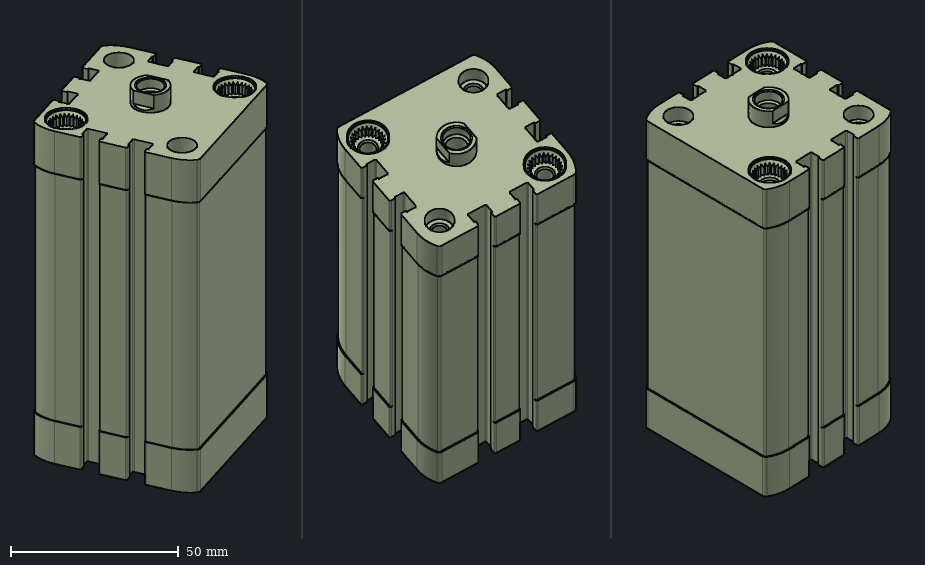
import cadquery as cq
import math

width = 54.5
total_height = 121.1
rod_reach = 6.0
housing_height = total_height - rod_reach
half_width = width / 2

cap_height = 14.8
barrel_inset = 0.4
corner_arc_radius = 13.9
corner_arc_run = 8.1
corner_blend_radius = 1.5

slot_offset = 7.5
slot_mouth_width = 5.7
slot_inner_width = 6.7
slot_lip_depth = 2.0
slot_depth = 5.5
slot_mouth_radius = 0.5
slot_floor_radius = 0.4

hole_offset = 19.0
through_diameter = 5.0
hole_chamfer_diameter = 6.0
seat_diameter = 9.0
seat_depth = 5.2

socket_rim_diameter = 12.8
socket_rim_depth = 0.6
socket_cone_diameter = 11.9
socket_root_diameter = 10.4
socket_tip_diameter = 8.6
tooth_count = 24

rod_diameter = 12.0
rod_seat_depth = cap_height
flat_spacing = 9.9
flat_height = 4.6
flat_runout = 0.7
rod_mouth_diameter = 9.3
rod_recess_diameter = 8.4
rod_recess_depth = 3.5
rod_bore_diameter = 6.7
rod_bore_depth = 12.1
countersink_angle = 120.0
drill_point_angle = 118.0


def frustum(start_diameter, end_diameter, top_z, depth):
    """Round solid that narrows downward from top_z; a zero end diameter gives a pointed cone."""
    top_centre = cq.Vector(0, 0, top_z)
    downward = cq.Vector(0, 0, -1)
    cone = cq.Solid.makeCone(start_diameter / 2, end_diameter / 2, depth, top_centre, downward)
    return cq.Workplane(obj=cone)


def cylinder_down(diameter, top_z, depth):
    return cq.Workplane().workplane(offset=top_z).circle(diameter / 2).extrude(-depth)


def body_section(inset, bottom_z, height):
    """Slotted square block with double-arc corners, its sides set back by inset."""
    half = half_width - inset
    arc_radius = corner_arc_radius - inset
    blend_radius = corner_blend_radius - inset
    arc_x = half_width - corner_arc_run
    arc_y = half_width - corner_arc_radius
    blend_x = half_width - corner_blend_radius
    centre_distance = corner_arc_radius - corner_blend_radius
    blend_y = arc_y + math.sqrt(centre_distance**2 - (blend_x - arc_x) ** 2)
    join_angle = math.atan2(blend_y - arc_y, blend_x - arc_x)

    def arc_point(angle):
        return arc_x + arc_radius * math.cos(angle), arc_y + arc_radius * math.sin(angle)

    def blend_point(angle):
        return blend_x + blend_radius * math.cos(angle), blend_y + blend_radius * math.sin(angle)

    quarter = (
        cq.Workplane()
        .workplane(offset=bottom_z)
        .lineTo(0, half)
        .lineTo(arc_x, half)
        .threePointArc(arc_point((join_angle + math.pi / 2) / 2), arc_point(join_angle))
        .threePointArc(blend_point(join_angle / 2), (half, blend_y))
        .lineTo(half, 0)
        .close()
        .extrude(height)
    )
    right_half = quarter.union(quarter.mirror("XZ"))
    body = right_half.union(right_half.mirror("YZ"))

    slots = slot_pair(half, bottom_z, height)
    for side_angle in (0, 90, 180):
        body = body.cut(slots.rotate((0, 0, 0), (0, 0, 1), side_angle))
    return body


def slot_pair(side_y, bottom_z, height):
    """Two T-slots opening in the plane y = side_y, with rounded mouth edges and floor corners."""
    mouth_x = slot_mouth_width / 2
    inner_x = slot_inner_width / 2
    floor_y = half_width - slot_depth
    lip_y = half_width - slot_lip_depth
    right_half = (
        cq.Workplane()
        .workplane(offset=bottom_z)
        .moveTo(0, floor_y)
        .lineTo(inner_x - slot_floor_radius, floor_y)
        .radiusArc((inner_x, floor_y + slot_floor_radius), -slot_floor_radius)
        .lineTo(inner_x, lip_y)
        .lineTo(mouth_x, lip_y)
        .lineTo(mouth_x, side_y - slot_mouth_radius)
        .radiusArc((mouth_x + slot_mouth_radius, side_y), slot_mouth_radius)
        .lineTo(0, side_y)
        .close()
        .extrude(height)
    )
    slot = right_half.union(right_half.mirror("YZ"))
    return slot.translate((-slot_offset, 0, 0)).union(slot.translate((slot_offset, 0, 0)))


def corner_hole_cutter():
    """Through hole with a chamfered lead-in, starting at the floor of its counterbore or socket."""
    seat_z = housing_height - seat_depth
    lead_in_depth = (hole_chamfer_diameter - through_diameter) / 2
    lead_in = frustum(hole_chamfer_diameter, through_diameter, seat_z, lead_in_depth)
    return cylinder_down(through_diameter, seat_z, seat_z).union(lead_in)


def counterbore_cutter():
    return cylinder_down(seat_diameter, housing_height, seat_depth)


def socket_cutter():
    """Shallow round recess, then a 45 degree cone leading into a ring of pointed teeth."""
    star = []
    for step in range(2 * tooth_count):
        radius = (socket_root_diameter if step % 2 == 0 else socket_tip_diameter) / 2
        angle = math.pi * step / tooth_count
        star.append((radius * math.cos(angle), radius * math.sin(angle)))
    teeth = cq.Workplane().workplane(offset=housing_height).polyline(star).close().extrude(-seat_depth)
    rim = cylinder_down(socket_rim_diameter, housing_height, socket_rim_depth)
    cone_depth = (socket_cone_diameter - socket_tip_diameter) / 2
    cone_z = housing_height - socket_rim_depth
    cone = frustum(socket_cone_diameter, socket_tip_diameter, cone_z, cone_depth)
    return teeth.union(cone).union(rim)


def make_housing():
    top_cap_z = housing_height - cap_height
    housing = body_section(barrel_inset, cap_height, top_cap_z - cap_height)
    housing = housing.union(body_section(0, 0, cap_height))
    housing = housing.union(body_section(0, top_cap_z, cap_height))

    for x_sign in (-1, 1):
        for y_sign in (-1, 1):
            seat = socket_cutter() if x_sign == y_sign else counterbore_cutter()
            cutter = seat.union(corner_hole_cutter())
            housing = housing.cut(cutter.translate((x_sign * hole_offset, y_sign * hole_offset, 0)))

    return housing.cut(cylinder_down(rod_diameter, housing_height, rod_seat_depth))


def make_rod():
    rod = cylinder_down(rod_diameter, total_height, rod_reach + rod_seat_depth)

    flat_y = flat_spacing / 2
    edge_y = rod_diameter / 2
    flat_z = total_height - flat_height
    flat_cutter = (
        cq.Workplane("YZ")
        .moveTo(flat_y, total_height)
        .lineTo(flat_y, flat_z)
        .lineTo(edge_y, flat_z - flat_runout)
        .lineTo(edge_y, total_height)
        .close()
        .extrude(rod_diameter / 2, both=True)
    )
    rod = rod.cut(flat_cutter).cut(flat_cutter.mirror("XZ"))

    countersink_slope = math.tan(math.radians(countersink_angle / 2))
    mouth_depth = (rod_mouth_diameter - rod_recess_diameter) / 2 / countersink_slope
    step_depth = (rod_recess_diameter - rod_bore_diameter) / 2 / countersink_slope
    step_z = total_height - rod_recess_depth
    point_depth = rod_bore_diameter / 2 / math.tan(math.radians(drill_point_angle / 2))
    rod = rod.cut(frustum(rod_mouth_diameter, rod_recess_diameter, total_height, mouth_depth))
    rod = rod.cut(cylinder_down(rod_recess_diameter, total_height, rod_recess_depth))
    rod = rod.cut(frustum(rod_recess_diameter, rod_bore_diameter, step_z, step_depth))
    rod = rod.cut(cylinder_down(rod_bore_diameter, total_height, rod_bore_depth))
    return rod.cut(frustum(rod_bore_diameter, 0, total_height - rod_bore_depth, point_depth))


housing = make_housing()
rod = make_rod()

result = cq.Compound.makeCompound([housing.val(), rod.val()])